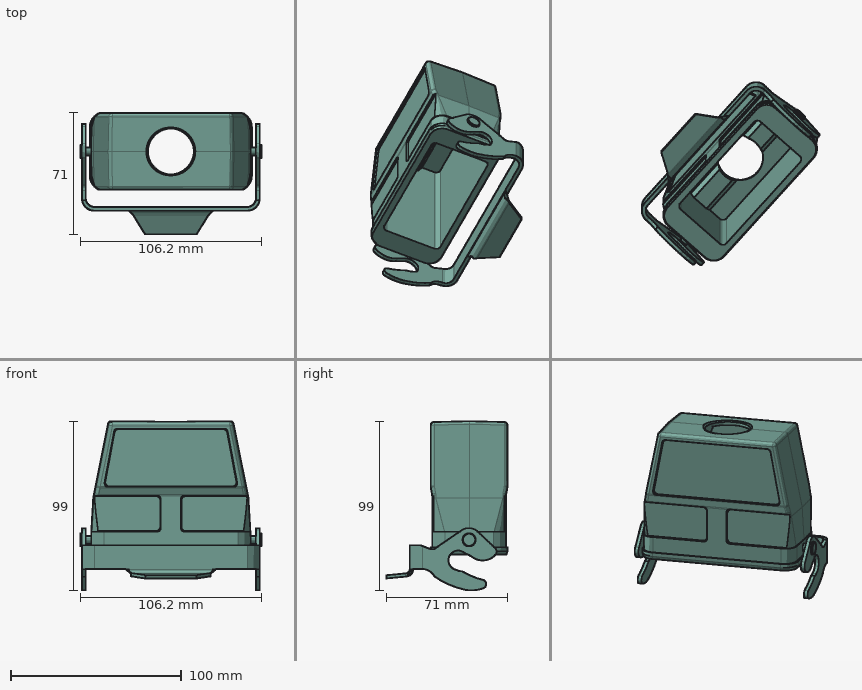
import cadquery as cq
import math


hood_height = 78.1
parting_bow = 0.5
base_half_length = 46.6
base_half_width = 21.7
base_corner_radius = 7.4
base_top_z = 13.3
waist_half_length = 45.5
waist_z = 33.1
shoulder_low_z = 34.8
shoulder_high_z = 39.5
upper_half_width = 22.5
shoulder_blend_radius = 4.2
top_half_length = 36.4
upper_fillet = 2.1

rim_height = 4.1
rim_overhang = 0.8
rim_chamfer_height = 2.0
rim_chamfer_inset = 0.6

panel_depth = 1.0
panel_edge_inset = 0.4
panel_corner_radius = 2.5
label_low_z = 39.5
label_high_z = 73.7
label_low_half_length = 39.3
label_high_half_length = 32.9
grip_low_z = 13.4
grip_high_z = 34.5
grip_post_half_width = 5.8

cavity_half_length = 35.0
cavity_half_width = 18.1
cavity_corner_radius = 2.7
roof_thickness = 3.0
cable_hole_diameter = 26.8
cable_hole_chamfer = 1.1
roof_rib_depth = 7.4
roof_rib_top_half_width = 7.4
roof_rib_bottom_half_width = 4.9

pin_z = 8.6
pin_diameter = 4.8
pin_head_diameter = 7.8
pin_head_half_span = 53.1
pin_head_chamfer = 0.3

lever_half_length = 52.0
sheet_thickness = 2.3
strap_front_y = -34.7
strap_bend_radius = 7.3
strap_low_z = -8.5
strap_high_z = 5.5
strap_ramp_overlap = 1.1
lever_low_z = -20.9

tab_tip_y = -48.5
tab_slope = 5.5
tab_bend_radius = 2.4
tab_thickness = 2.0
tab_root_half_width = 26.5
tab_flare_half_width = 23.4
tab_flare_low_z = -11.2
tab_bend_half_width = 22.1
tab_tip_half_width = 15.1
tab_tip_corner_radius = 1.1


def hood_section(z, half_length, half_width, corner_radius, bow):
    """Closed hood outline at height z: a rounded rectangle whose ends bow out at Y = 0."""
    outline = (
        cq.Workplane("XY").workplane(offset=z)
        .polyline([
            (-half_length, -half_width), (half_length, -half_width), (half_length + bow, 0),
            (half_length, half_width), (-half_length, half_width), (-half_length - bow, 0),
        ])
        .close().val()
    )
    corners = [v for v in outline.Vertices() if abs(v.Y) > half_width / 2]
    return outline.fillet2D(corner_radius, corners)


def make_upper_hood():
    """Tapered upper hood with drafted ends and roof, widened above the shoulder."""
    draft_angle = math.degrees(math.atan(parting_bow / upper_half_width))
    end_slope = (waist_half_length - top_half_length) / (hood_height - waist_z)
    start_z = waist_z - 2 * parting_bow
    start_half_length = waist_half_length + 2 * parting_bow * end_slope
    side_outline = [
        (-start_half_length, start_z), (start_half_length, start_z),
        (top_half_length, hood_height), (-top_half_length, hood_height),
    ]
    halves = [
        cq.Workplane("XZ").polyline(side_outline).close()
        .extrude(direction * upper_half_width, taper=draft_angle)
        for direction in (-1, 1)
    ]
    shoulder_limit = (
        cq.Workplane("YZ")
        .polyline([
            (-base_half_width, waist_z), (base_half_width, waist_z),
            (base_half_width, shoulder_low_z), (upper_half_width, shoulder_high_z),
            (upper_half_width, hood_height), (-upper_half_width, hood_height),
            (-upper_half_width, shoulder_high_z), (-base_half_width, shoulder_low_z),
        ])
        .close()
        .extrude(2 * base_half_length, both=True)
    )
    shoulder_edges = shoulder_limit.edges("|X").filter(
        lambda edge: waist_z < edge.Center().z < hood_height
    )
    shoulder_limit = shoulder_edges.fillet(shoulder_blend_radius)

    edge_margin = 0.1

    def is_corner(edge):
        on_long_wall = abs(edge.Center().y) > base_half_width - edge_margin
        return on_long_wall and abs(edge.Center().x) > top_half_length / 2

    def is_roof_rim(edge):
        on_roof = edge.Center().z > hood_height - parting_bow - edge_margin
        return on_roof and math.hypot(edge.Center().x, edge.Center().y) > upper_half_width / 2

    def finish_half(half):
        half = half.intersect(shoulder_limit)
        return half.edges().filter(lambda edge: is_corner(edge) or is_roof_rim(edge)).fillet(upper_fillet)

    return finish_half(halves[0]).union(finish_half(halves[1]))


def make_waist(upper_hood):
    """Flared part that leads from the straight base to the underside of the upper hood."""
    base_section = hood_section(base_top_z, base_half_length - parting_bow, base_half_width,
                                base_corner_radius, parting_bow)
    upper_section = upper_hood.faces("<Z").val().outerWire()
    return cq.Workplane(cq.Solid.makeLoft([base_section, upper_section], True))


def make_base():
    base = (
        cq.Workplane("XY")
        .rect(2 * base_half_length, 2 * base_half_width)
        .extrude(base_top_z)
        .edges("|Z").fillet(base_corner_radius)
    )
    rim = (
        cq.Workplane("XY")
        .rect(2 * (base_half_length + rim_overhang), 2 * (base_half_width + rim_overhang))
        .extrude(rim_height)
        .edges("|Z").fillet(base_corner_radius + rim_overhang)
        .faces("<Z").chamfer(rim_chamfer_height, rim_chamfer_inset)
    )
    return base.union(rim)


def recess_tool(outline, wall_y, side):
    """Cutter with rounded corners, full size at the wall surface and narrower at its floor."""
    return (
        cq.Workplane("XZ", origin=(0, side * wall_y, 0))
        .polyline(outline).close()
        .extrude(side * panel_depth, taper=math.degrees(math.atan(panel_edge_inset / panel_depth)))
        .edges("not #Y").fillet(panel_corner_radius)
    )


def label_recess(side):
    """Tapered-wall recess for the large trapezoidal panel in the upper hood."""
    outline = [
        (-label_low_half_length, label_low_z), (label_low_half_length, label_low_z),
        (label_high_half_length, label_high_z), (-label_high_half_length, label_high_z),
    ]
    return recess_tool(outline, upper_half_width, side)


def grip_recess(side, end):
    """Tapered-wall recess for a lower panel that runs out at one end (-1 or 1) of the hood."""
    run_out = base_half_length + 5 * panel_corner_radius
    outline = [
        (end * grip_post_half_width, grip_low_z), (end * run_out, grip_low_z),
        (end * run_out, grip_high_z), (end * grip_post_half_width, grip_high_z),
    ]
    return recess_tool(outline, base_half_width, side)


def make_cavity():
    """Hollow inside, open at the bottom, with a tapered rib left hanging under the roof."""
    cavity = (
        cq.Workplane("XY")
        .rect(2 * cavity_half_length, 2 * cavity_half_width)
        .extrude(hood_height - roof_thickness)
        .edges("|Z").fillet(cavity_corner_radius)
    )
    rib = (
        cq.Workplane("YZ")
        .polyline([
            (-roof_rib_top_half_width, hood_height - roof_thickness),
            (roof_rib_top_half_width, hood_height - roof_thickness),
            (roof_rib_bottom_half_width, hood_height - roof_rib_depth),
            (-roof_rib_bottom_half_width, hood_height - roof_rib_depth),
        ])
        .close()
        .extrude(cavity_half_length, both=True)
    )
    return cavity.cut(rib)


def make_cable_hole():
    hole = cq.Workplane("XY").circle(cable_hole_diameter / 2).extrude(hood_height)
    countersink = (
        cq.Workplane("XY").workplane(offset=hood_height)
        .circle(cable_hole_diameter / 2 + cable_hole_chamfer)
        .extrude(-cable_hole_chamfer, taper=45)
    )
    return hole.union(countersink)


def make_pin(end):
    """Headed pivot pin on one end wall (-1 or 1) of the hood."""
    plane = cq.Workplane("YZ", origin=(0, 0, pin_z))
    shank_start = (base_half_length + cavity_half_length) / 2
    shank = (
        plane.workplane(offset=end * shank_start)
        .circle(pin_diameter / 2)
        .extrude(end * (lever_half_length - shank_start))
    )
    head = (
        plane.workplane(offset=end * lever_half_length)
        .circle(pin_head_diameter / 2)
        .extrude(end * (pin_head_half_span - lever_half_length))
        .faces(">X" if end > 0 else "<X").chamfer(pin_head_chamfer)
    )
    return shank.union(head)


def make_hood():
    upper_hood = make_upper_hood()
    hood = upper_hood.union(make_waist(upper_hood)).union(make_base())
    for side in (-1, 1):
        hood = hood.cut(label_recess(side))
        for end in (-1, 1):
            hood = hood.cut(grip_recess(side, end))
    hood = hood.cut(make_cavity()).cut(make_cable_hole())
    for end in (-1, 1):
        hood = hood.union(make_pin(end))
    return hood


def make_strap():
    """U-shaped sheet: two long side arms joined by a bent front strap, before the arms are trimmed."""
    arm_reach = base_half_width
    blank_height = hood_height - lever_low_z

    def bent_block(inset):
        front_y = strap_front_y + inset
        half_length = lever_half_length - inset
        return (
            cq.Workplane("XY").workplane(offset=lever_low_z)
            .center(0, (front_y + arm_reach) / 2)
            .rect(2 * half_length, arm_reach - front_y)
            .extrude(blank_height)
            .edges("|Z and <Y").fillet(strap_bend_radius - inset)
        )

    return bent_block(0).cut(bent_block(sheet_thickness))


def make_arm_outline():
    """Side outline of the lever arm and strap in Y and Z, extruded across the whole lever."""
    strap_end = strap_front_y - 1.1
    bend_start_y = strap_front_y + strap_bend_radius
    return (
        cq.Workplane("YZ")
        .moveTo(strap_end, strap_high_z)
        .lineTo(bend_start_y - strap_ramp_overlap, strap_high_z)
        .lineTo(-22.7, 3.3)
        .threePointArc((-21.1, 3.0), (-19.4, 3.9))
        .lineTo(-3.8, 14.5)
        .threePointArc((0, 15.5), (4.7, 13.8))
        .lineTo(14.7, 4.4)
        .threePointArc((16.0, 2.1), (15.3, -0.4))
        .threePointArc((8.5, -3.5), (1.7, -1.4))
        .lineTo(-4.2, 1.9)
        .threePointArc((-6.7, 2.4), (-8.9, 1.7))
        .threePointArc((-12.0, -3.1), (-7.4, -8.9))
        .threePointArc((-5.7, -9.6), (-4.1, -9.7))
        .threePointArc((1.9, -12.7), (8.5, -14.9))
        .threePointArc((10.0, -16.9), (8.7, -19.6))
        .threePointArc((3.2, lever_low_z), (-2.7, -20.6))
        .threePointArc((-12.2, -17.4), (-20.2, -13.0))
        .threePointArc((-23.2, -9.8), (bend_start_y, strap_low_z))
        .lineTo(strap_end, strap_low_z)
        .close()
        .extrude(lever_half_length, both=True)
    )


def make_tab():
    """Thumb tab: bent forward from the lower edge of the strap, narrowing toward its tip."""
    slope = math.radians(tab_slope)
    bend_y = strap_front_y - tab_bend_radius
    tab_length = (bend_y + tab_bend_radius * math.sin(slope) - tab_tip_y) / math.cos(slope)

    def bend_point(radius, angle):
        """Point on the bend, turned by angle from the strap toward the tab."""
        return bend_y + radius * math.cos(angle), strap_low_z - radius * math.sin(angle)

    def tip_point(radius):
        start_y, start_z = bend_point(radius, bend_angle)
        return start_y - tab_length * math.cos(slope), start_z - tab_length * math.sin(slope)

    bend_angle = math.pi / 2 - slope
    upper_radius = tab_bend_radius
    lower_radius = tab_bend_radius + tab_thickness
    sheet = (
        cq.Workplane("YZ")
        .moveTo(*bend_point(upper_radius, 0))
        .threePointArc(bend_point(upper_radius, bend_angle / 2), bend_point(upper_radius, bend_angle))
        .lineTo(*tip_point(upper_radius))
        .lineTo(*tip_point(lower_radius))
        .lineTo(*bend_point(lower_radius, bend_angle))
        .threePointArc(bend_point(lower_radius, bend_angle / 2), bend_point(lower_radius, 0))
        .close()
        .extrude(tab_root_half_width, both=True)
    )
    plan = (
        cq.Workplane("XY").workplane(offset=lever_low_z)
        .polyline([
            (-tab_root_half_width, strap_front_y + tab_thickness), (-tab_bend_half_width, bend_y),
            (-tab_tip_half_width, tab_tip_y), (tab_tip_half_width, tab_tip_y),
            (tab_bend_half_width, bend_y), (tab_root_half_width, strap_front_y + tab_thickness),
        ])
        .close()
        .extrude(strap_low_z - lever_low_z)
        .edges("|Z and <Y").fillet(tab_tip_corner_radius)
    )
    flare = (
        cq.Workplane("XZ")
        .polyline([
            (-tab_root_half_width, strap_low_z), (tab_root_half_width, strap_low_z),
            (tab_flare_half_width, tab_flare_low_z), (tab_flare_half_width, lever_low_z),
            (-tab_flare_half_width, lever_low_z), (-tab_flare_half_width, tab_flare_low_z),
        ])
        .close()
        .extrude(-tab_tip_y)
    )
    return sheet.intersect(plan).intersect(flare)


def make_lever():
    lever = make_strap().intersect(make_arm_outline()).union(make_tab())
    pivot_holes = (
        cq.Workplane("YZ", origin=(0, 0, pin_z))
        .circle(pin_diameter / 2)
        .extrude(lever_half_length, both=True)
    )
    return lever.cut(pivot_holes)


hood = make_hood()
lever = make_lever()

result = cq.Compound.makeCompound([hood.val(), lever.val()])